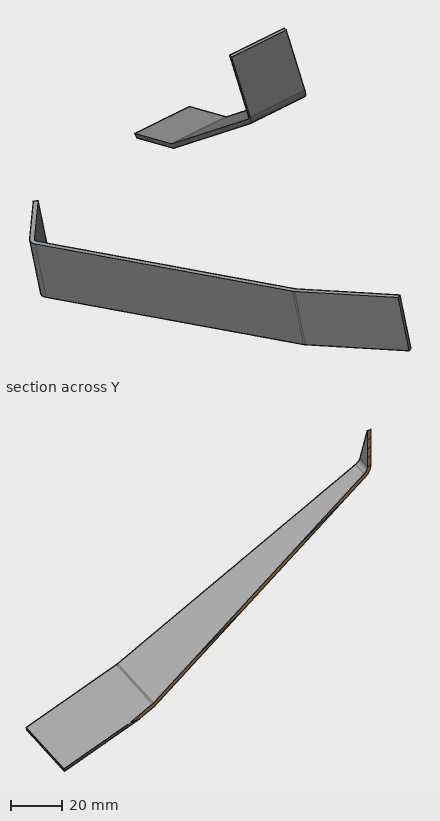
import cadquery as cq
import math

width = 24.5
thickness = 2.0
inner_bend_radius = 3.0
tilt = 16.3

span = 150.8
height = 108.4

end_slope = math.radians(19.2)
main_slope = math.radians(30.0)
end_run = 42.2

end_lean = thickness * math.sin(end_slope)
upright_x = span - end_lean
first_bend = (end_run, end_run * math.tan(end_slope))
second_bend = (
    upright_x,
    first_bend[1] + (upright_x - end_run) * math.tan(main_slope),
)


def inner_corner(outer, slope_before, slope_after):
    """Point where the upper faces meet above an underside corner."""
    mean_slope = (slope_before + slope_after) / 2
    miter = thickness / math.cos((slope_after - slope_before) / 2)
    return (
        outer[0] - miter * math.sin(mean_slope),
        outer[1] + miter * math.cos(mean_slope),
    )


first_inner = inner_corner(first_bend, end_slope, main_slope)
second_inner = inner_corner(second_bend, main_slope, math.pi / 2)

strip = (
    cq.Workplane("XZ")
    .polyline([
        (0, 0),
        first_bend,
        second_bend,
        (upright_x, height),
        (upright_x - thickness, height),
        second_inner,
        first_inner,
        (-end_lean, thickness * math.cos(end_slope)),
    ])
    .close()
    .extrude(width / 2, both=True)
)


def round_edge(body, corner, radius):
    """Round the width-wise edge at one profile corner."""
    point = (corner[0], 0, corner[1])
    return body.edges(cq.NearestToPointSelector(point)).fillet(radius)


outer_bend_radius = inner_bend_radius + thickness
for inner, outer in ((first_inner, first_bend), (second_inner, second_bend)):
    strip = round_edge(strip, inner, inner_bend_radius)
    strip = round_edge(strip, outer, outer_bend_radius)

result = strip.rotate((0, 0, 0), (1, 0, 0), tilt)